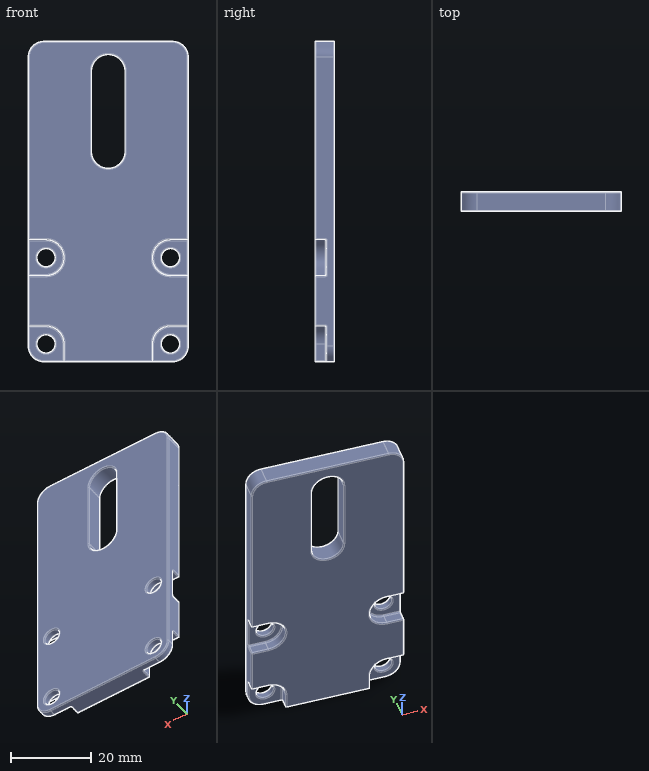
import cadquery as cq

width = 40.0
thickness = 5.0
height = 80.0
corner_radius = 4.0
edge_round = 0.3

hole_diameter = 4.5
hole_edge_offset = 4.5
hole_spacing = 21.5
pad_radius = 4.5
pad_depth = 2.8

slot_width = 8.3
slot_length = 28.3
slot_top_margin = 3.4

front_y = -thickness / 2
hole_x = width / 2 - hole_edge_offset
lower_hole_z = -height / 2 + hole_edge_offset
upper_hole_z = lower_hole_z + hole_spacing
slot_center_z = height / 2 - slot_top_margin - slot_length / 2
sides = (-1, 1)


def on_front(x, z):
    """Workplane on the front face, centred on (x, z), with local x along X and local y along Z."""
    return cq.Workplane("XZ", origin=(0, front_y, 0)).center(x, z)


def pad_recess(side, hole_z, opens_below):
    """Recess rounded about a hole and open at the plate's side; a corner pad also opens below."""
    arm_length = 2 * pad_radius
    hole_center_x = side * hole_x
    arm_center_x = hole_center_x + side * arm_length / 2
    recess = on_front(hole_center_x, hole_z).circle(pad_radius).extrude(-pad_depth)
    arm = on_front(arm_center_x, hole_z).rect(arm_length, 2 * pad_radius).extrude(-pad_depth)
    recess = recess.union(arm)
    if opens_below:
        drop_length = 2 * pad_radius
        drop_width = arm_length + pad_radius
        drop_center_x = hole_center_x + side * (arm_length - pad_radius) / 2
        drop = on_front(drop_center_x, hole_z - drop_length / 2).rect(drop_width, drop_length)
        recess = recess.union(drop.extrude(-pad_depth))
    return recess.clean()


def recess_mouth_points(side):
    """Middles of the edges where the recess walls on one side meet the plate's outline."""
    y = front_y + pad_depth / 2
    side_x = side * width / 2
    return [
        (side_x, y, upper_hole_z + pad_radius),
        (side_x, y, upper_hole_z - pad_radius),
        (side_x, y, lower_hole_z + pad_radius),
        (side * (hole_x - pad_radius), y, -height / 2),
    ]


plate = cq.Workplane("XY").box(width, thickness, height)
plate = plate.edges("|Y").fillet(corner_radius)

for side in sides:
    for hole_z, opens_below in ((upper_hole_z, False), (lower_hole_z, True)):
        plate = plate.cut(pad_recess(side, hole_z, opens_below))
        hole = on_front(side * hole_x, hole_z).circle(hole_diameter / 2).extrude(-thickness)
        plate = plate.cut(hole)

slot = on_front(0, slot_center_z).slot2D(slot_length, slot_width, 90).extrude(-thickness)
plate = plate.cut(slot)

rounded_edges = plate.edges("not |Y")
for side in sides:
    for point in recess_mouth_points(side):
        rounded_edges = rounded_edges.add(plate.edges(cq.NearestToPointSelector(point)))

result = rounded_edges.fillet(edge_round).solids()